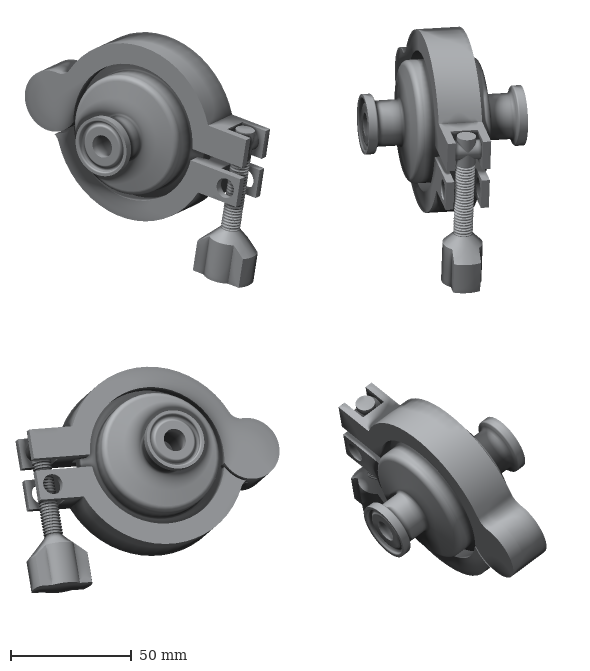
import cadquery as cq
import math


valve_half_length = 33.6
body_radius = 25.6
shoulder_y = 15.2
shoulder_round = 2.5
end_cone_angle = 10.5
neck_radius = 9.6
neck_root_round = 1.1

ferrule_angle = 20.0
flange_back_round = 1.0
ferrule_back_round = 1.5
rim_round = 0.7
flange_radius = 31.7
flange_rim_half_width = 2.9
end_ferrule_radius = 12.5
end_ferrule_rim_width = 3.8
bore_radius = 4.8
bore_depth = 18.5

groove_outer_radius = 10.8
groove_lip_round = 0.7
groove_depth = 2.2
groove_foot_radius = 9.7
groove_wall_angle = 49.0
floor_depth = 0.93
floor_edge_round = 0.9

clamp_tilt = 9.5
clamp_width = 18.3
ring_radius = 76.2 / 2
ring_bore_radius = 29.3
clamp_groove_radius = 33.7
split_half_gap = 5.1 / 2

hinge_x = -40.8
knuckle_radius = 13.1
knuckle_clearance = 1.1
knuckle_width = clamp_width / 3
hinge_web_round = 5.5
hinge_pin_radius = 9.0 / 2

arm_end_x = 54.0
arm_top_z = 15.2
fork_slot_width = 11.6
fork_slot_base_x = 42.3
cross_pin_radius = 8.2 / 2
lower_hole_radius = 4.3
cross_hole_z = (split_half_gap + arm_top_z) / 2

bolt_x = 47.5
bolt_radius = 4.0
thread_length = 31.8
thread_turns = 25
thread_pitch = thread_length / thread_turns
thread_depth = 0.7
thread_end_z = split_half_gap - thread_length

knob_bottom_z = -50.9
knob_radius = 12.8
knob_hub_radius = 16.7 / 2
wing_width = 11.3


def slope(angle):
    return math.tan(math.radians(angle))


def rounded_outline(plane, corners):
    """Closed outline through (x, y, round radius) corners; a radius of 0 leaves a corner sharp."""
    smallest_line = 1.09e-06
    outline = None
    end = None
    for i, (x, y, radius) in enumerate(corners):
        corner = cq.Vector(x, y, 0)
        to_last = (cq.Vector(*corners[i - 1][:2]) - corner).normalized()
        to_next = (cq.Vector(*corners[(i + 1) % len(corners)][:2]) - corner).normalized()
        half_angle = to_last.getAngle(to_next) / 2
        setback = radius / math.tan(half_angle)
        start = corner + to_last * setback
        if outline is None:
            outline = cq.Workplane(plane).moveTo(start.x, start.y)
        elif (start - end).Length > smallest_line:
            outline = outline.lineTo(start.x, start.y)
        end = start
        if radius > 0:
            bisector = (to_last + to_next).normalized()
            middle = corner + bisector * (radius / math.sin(half_angle) - radius)
            end = corner + to_next * setback
            outline = outline.threePointArc((middle.x, middle.y), (end.x, end.y))
    return outline.close()


def turned(outline):
    """Solid of revolution about the Y axis from an outline of (y, radius) points in the YZ plane."""
    return outline.revolve(360, (0, 0, 0), (1, 0, 0))


def disc(x, z, radius, width=clamp_width):
    """Cylinder along Y, centred on the mid-plane."""
    return cq.Workplane("XZ").center(x, z).circle(radius).extrude(width / 2, both=True)


def block(x_min, x_max, z_min, z_max, width=clamp_width):
    """Box centred on the mid-plane."""
    size = (x_max - x_min, width, z_max - z_min)
    return cq.Workplane("XY").box(*size).translate(((x_min + x_max) / 2, 0, (z_min + z_max) / 2))


def flange_half_width(radius):
    """Half width of the mid flange where its sloping back reaches this radius."""
    return flange_rim_half_width + (flange_radius - radius) * slope(ferrule_angle)


def housing_half():
    neck_root_y = shoulder_y + (body_radius - neck_radius) * slope(end_cone_angle)
    ferrule_rim_y = valve_half_length - end_ferrule_rim_width
    ferrule_root_y = ferrule_rim_y - (end_ferrule_radius - neck_radius) * slope(ferrule_angle)
    groove_bottom_y = valve_half_length - groove_depth
    floor_y = valve_half_length - floor_depth
    floor_edge_radius = groove_foot_radius - (groove_depth - floor_depth) / slope(groove_wall_angle)
    groove_bottom_round = (groove_outer_radius - groove_foot_radius) / (1 + slope(groove_wall_angle / 2))
    corners = [
        (0, 0, 0),
        (0, flange_radius, 0),
        (flange_rim_half_width, flange_radius, rim_round),
        (flange_half_width(body_radius), body_radius, flange_back_round),
        (shoulder_y, body_radius, shoulder_round),
        (neck_root_y, neck_radius, neck_root_round),
        (ferrule_root_y, neck_radius, ferrule_back_round),
        (ferrule_rim_y, end_ferrule_radius, rim_round),
        (valve_half_length, end_ferrule_radius, 0),
        (valve_half_length, groove_outer_radius, groove_lip_round),
        (groove_bottom_y, groove_outer_radius, groove_bottom_round),
        (groove_bottom_y, groove_foot_radius, groove_bottom_round),
        (floor_y, floor_edge_radius, floor_edge_round),
        (floor_y, 0, 0),
    ]
    half = turned(rounded_outline("YZ", corners))
    bore_floor_y = valve_half_length - bore_depth
    bore = turned(cq.Workplane("YZ").moveTo(bore_floor_y, 0).rect(2 * bore_depth, bore_radius, centered=False))
    return half.cut(bore)


def make_housing():
    half = housing_half()
    return half.union(half.mirror("XZ"))


def ring_cavity():
    """Bore of the ring, with the tapered groove that grips the mid flange."""
    corners = [
        (-clamp_width, 0),
        (-clamp_width, ring_bore_radius),
        (-flange_half_width(ring_bore_radius), ring_bore_radius),
        (-flange_half_width(clamp_groove_radius), clamp_groove_radius),
        (flange_half_width(clamp_groove_radius), clamp_groove_radius),
        (flange_half_width(ring_bore_radius), ring_bore_radius),
        (clamp_width, ring_bore_radius),
        (clamp_width, 0),
    ]
    return turned(cq.Workplane("YZ").polyline(corners).close())


def hinge_web():
    """Fills the corner between ring and knuckle, with a concave round tangent to both."""
    to_knuckle = knuckle_radius + hinge_web_round
    to_ring = ring_radius + hinge_web_round
    round_x = (to_ring**2 - to_knuckle**2 + hinge_x**2) / (2 * hinge_x)
    round_z = math.sqrt(to_ring**2 - round_x**2)
    corner = [(0, 0), (hinge_x, 0), (round_x, round_z)]
    web = cq.Workplane("XZ").polyline(corner).close().extrude(clamp_width / 2, both=True)
    return web.cut(disc(round_x, round_z, hinge_web_round))


def half_ring():
    """Upper half ring with its forked arm, the web to the hinge and a solid knuckle."""
    ring = disc(0, 0, ring_radius)
    ring = ring.intersect(block(-ring_radius, ring_radius, split_half_gap, ring_radius))
    arm = block(0, arm_end_x, split_half_gap, arm_top_z)
    fork_slot = block(fork_slot_base_x, arm_end_x, split_half_gap, arm_top_z, fork_slot_width)
    return ring.union(arm).cut(fork_slot).union(hinge_web()).union(disc(hinge_x, 0, knuckle_radius))


def upper_half():
    """Carries the two outer knuckles."""
    middle_gap = disc(hinge_x, 0, knuckle_radius, knuckle_width)
    hinge_hole = disc(hinge_x, 0, hinge_pin_radius)
    cross_hole = disc(bolt_x, cross_hole_z, cross_pin_radius)
    return half_ring().cut(cross_hole).cut(middle_gap).cut(hinge_hole).cut(ring_cavity())


def lower_half():
    """Carries the middle knuckle and clears the outer two."""
    clearance = disc(hinge_x, 0, knuckle_radius + knuckle_clearance)
    clearance = clearance.cut(block(2 * hinge_x, 0, -ring_radius, ring_radius, knuckle_width))
    hinge_hole = disc(hinge_x, 0, hinge_pin_radius)
    cross_hole = disc(bolt_x, -cross_hole_z, lower_hole_radius)
    return half_ring().mirror("XY").cut(cross_hole).cut(clearance).cut(hinge_hole).cut(ring_cavity())


def threaded_shank():
    """Smooth head between the fork tines, then ring-shaped thread teeth down to the knob."""
    root_radius = bolt_radius - thread_depth
    flat = thread_pitch / 4
    outline = cq.Workplane("XZ").moveTo(0, arm_top_z).lineTo(bolt_radius, arm_top_z)
    outline = outline.lineTo(bolt_radius, split_half_gap)
    for turn in range(thread_turns):
        tooth_z = split_half_gap - turn * thread_pitch
        outline = outline.lineTo(root_radius, tooth_z - flat)
        outline = outline.lineTo(root_radius, tooth_z - 2 * flat)
        outline = outline.lineTo(bolt_radius, tooth_z - 3 * flat)
        outline = outline.lineTo(bolt_radius, tooth_z - 4 * flat)
    return outline.lineTo(0, thread_end_z).close().revolve(360, (0, 0, 0), (0, 1, 0))


def wing_knob():
    """Round hub with two wings, topped by a 45 degree cone that starts at the thread."""
    cone_bottom_z = thread_end_z - (knob_radius - bolt_radius)
    height = thread_end_z - knob_bottom_z
    section = [
        (0, thread_end_z),
        (bolt_radius, thread_end_z),
        (knob_radius, cone_bottom_z),
        (knob_radius, knob_bottom_z),
        (0, knob_bottom_z),
    ]
    envelope = cq.Workplane("XZ").polyline(section).close().revolve(360, (0, 0, 0), (0, 1, 0))
    hub = cq.Workplane("XY", origin=(0, 0, knob_bottom_z)).circle(knob_hub_radius).extrude(height)
    wings = block(-knob_radius, knob_radius, knob_bottom_z, thread_end_z, wing_width)
    return envelope.intersect(hub.union(wings))


def make_clamp():
    bolt = threaded_shank().union(wing_knob()).translate((bolt_x, 0, 0))
    hinge_pin = disc(hinge_x, 0, hinge_pin_radius)
    cross_pin = disc(bolt_x, cross_hole_z, cross_pin_radius)
    clamp = upper_half()
    for part in (lower_half(), hinge_pin, cross_pin, bolt):
        clamp = clamp.union(part, clean=False)
    return clamp.rotate((0, 0, 0), (0, 1, 0), clamp_tilt)


housing = make_housing()
clamp = make_clamp()
result = cq.Compound.makeCompound([housing.val(), clamp.val()])